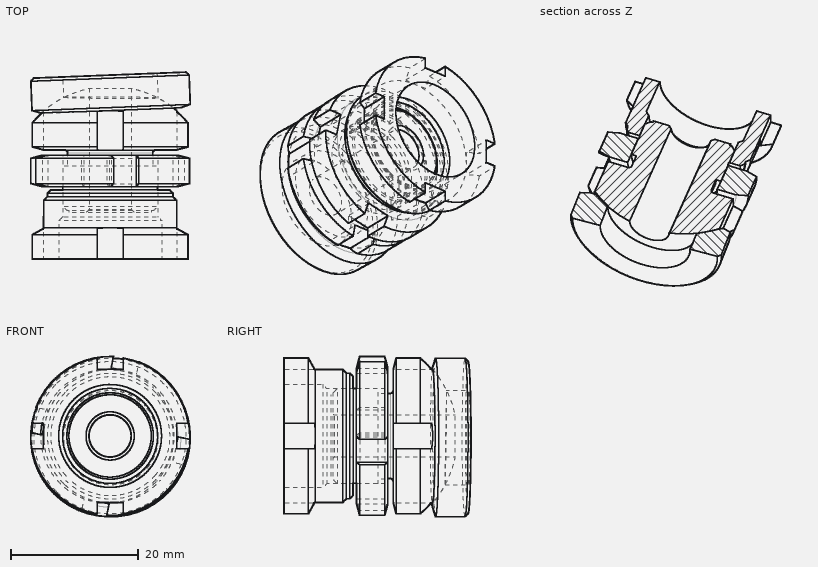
import cadquery as cq
import math


FLANGE_RADIUS = 12.45

SLOT_COUNT = 4
SLOT_WIDTH = 4.07
SLOT_FLOOR_RADIUS = 10.5

SHANK_RADIUS = 7.5

BEVEL_FACE_RADIUS = 10.65
BEVEL_ANGLE = 15.0

BASE_FLANGE_TOP = 3.85
BASE_BODY_RADIUS = SLOT_FLOOR_RADIUS
BASE_BODY_BOTTOM = 4.95
BASE_BODY_TOP = 9.25
BASE_RIM_RADIUS = 9.9
BASE_RIM_BOTTOM = 9.85
BASE_RIM_TOP = 10.38
BASE_TOP = 10.9
BASE_TOP_RADIUS = BASE_RIM_RADIUS - (BASE_TOP - BASE_RIM_TOP)
BASE_BORE_RADIUS = 8.1
BASE_BORE_DEPTH = 6.1
BASE_BORE_CHAMFER = BASE_BORE_RADIUS - SHANK_RADIUS

NUT_RADIUS = 12.53
NUT_BOTTOM = 11.4
NUT_TOP = 16.4
NUT_TURN = 11.8

SCREW_BOTTOM = 7.4
PILOT_RADIUS = 6.5
PILOT_LENGTH = 0.3
SHANK_TIP_RADIUS = 6.8
NECK_RADIUS = 6.72
NECK_BOTTOM = 14.75
NECK_FILLET = 0.45
COLLAR_BOTTOM = 17.2
COLLAR_TOP = 21.45
SCREW_HOLE_RADIUS = 3.3
SCREW_HOLE_CHAMFER = 0.5

DOME_RADIUS = 16.2
DOME_CENTRE = COLLAR_TOP - math.sqrt(DOME_RADIUS**2 - FLANGE_RADIUS**2)

WASHER_RADIUS = 12.5
WASHER_THICKNESS = 5.6
WASHER_TOP_CHAMFER = 0.5
WASHER_FACE_RADIUS = 10.97
WASHER_BEVEL_HEIGHT = 0.47
WASHER_HOLE_RADIUS = 7.43
WASHER_TILT = 2.25
WASHER_CENTRE = (0.05, 26.2, -0.25)


def bevel_height(radius):
    """Axial height of the shallow bevel on an edge of the given radius."""
    return (radius - BEVEL_FACE_RADIUS) * math.tan(math.radians(BEVEL_ANGLE))


def turned(points):
    """Solid of revolution about the Y axis from (radius, y) points."""
    return cq.Workplane("XY").polyline(points).close().revolve(360, (0, 0, 0), (0, 1, 0))


def tool_slots(bottom, top, turn=0.0):
    """Cutters for the slots spaced around the Y axis between two heights."""
    slot_depth = NUT_RADIUS - SLOT_FLOOR_RADIUS
    cutter_depth = 2 * slot_depth
    cutter = cq.Workplane("XY").box(SLOT_WIDTH, top - bottom, cutter_depth)
    cutter = cutter.translate((0, (bottom + top) / 2, NUT_RADIUS))
    cutters = cq.Workplane("XY")
    for index in range(SLOT_COUNT):
        angle = turn + index * 360 / SLOT_COUNT
        cutters = cutters.add(cutter.rotate((0, 0, 0), (0, 1, 0), angle))
    return cutters.combine()


def dome_height(radius):
    """Height of the dome surface at the given distance from the Y axis."""
    return DOME_CENTRE + math.sqrt(DOME_RADIUS**2 - radius**2)


def make_base():
    """Slotted flange with a stepped body, a wide lower bore and a shank hole."""
    body = turned([
        (BASE_BORE_RADIUS, 0),
        (FLANGE_RADIUS, 0),
        (FLANGE_RADIUS, BASE_FLANGE_TOP),
        (BASE_BODY_RADIUS, BASE_BODY_BOTTOM),
        (BASE_BODY_RADIUS, BASE_BODY_TOP),
        (BASE_RIM_RADIUS, BASE_RIM_BOTTOM),
        (BASE_RIM_RADIUS, BASE_RIM_TOP),
        (BASE_TOP_RADIUS, BASE_TOP),
        (SHANK_RADIUS, BASE_TOP),
        (SHANK_RADIUS, BASE_BORE_DEPTH + BASE_BORE_CHAMFER),
        (BASE_BORE_RADIUS, BASE_BORE_DEPTH),
    ])
    return body.cut(tool_slots(0, BASE_BODY_BOTTOM))


def make_locknut():
    """Slotted ring, bevelled on both faces and turned relative to the base."""
    bevel = bevel_height(NUT_RADIUS)
    body = turned([
        (SHANK_RADIUS, NUT_BOTTOM),
        (BEVEL_FACE_RADIUS, NUT_BOTTOM),
        (NUT_RADIUS, NUT_BOTTOM + bevel),
        (NUT_RADIUS, NUT_TOP - bevel),
        (BEVEL_FACE_RADIUS, NUT_TOP),
        (SHANK_RADIUS, NUT_TOP),
    ])
    return body.cut(tool_slots(NUT_BOTTOM, NUT_TOP, NUT_TURN))


def make_screw():
    """Pilot, threaded shank, relief neck and slotted collar with a domed top."""
    shoulder = SCREW_BOTTOM + PILOT_LENGTH
    fillet_mid = NECK_FILLET * (1 - math.sqrt(0.5))
    screw_top = dome_height(SCREW_HOLE_RADIUS)
    dome_mid = (FLANGE_RADIUS + SCREW_HOLE_RADIUS) / 2
    profile = (
        cq.Workplane("XY")
        .moveTo(SCREW_HOLE_RADIUS + SCREW_HOLE_CHAMFER, SCREW_BOTTOM)
        .lineTo(PILOT_RADIUS, SCREW_BOTTOM)
        .lineTo(PILOT_RADIUS, shoulder)
        .lineTo(SHANK_TIP_RADIUS, shoulder)
        .lineTo(SHANK_RADIUS, shoulder + SHANK_RADIUS - SHANK_TIP_RADIUS)
        .lineTo(SHANK_RADIUS, NECK_BOTTOM)
        .lineTo(NECK_RADIUS, NECK_BOTTOM)
        .lineTo(NECK_RADIUS, COLLAR_BOTTOM - NECK_FILLET)
        .threePointArc(
            (NECK_RADIUS + fillet_mid, COLLAR_BOTTOM - fillet_mid),
            (NECK_RADIUS + NECK_FILLET, COLLAR_BOTTOM),
        )
        .lineTo(BEVEL_FACE_RADIUS, COLLAR_BOTTOM)
        .lineTo(FLANGE_RADIUS, COLLAR_BOTTOM + bevel_height(FLANGE_RADIUS))
        .lineTo(FLANGE_RADIUS, COLLAR_TOP)
        .threePointArc((dome_mid, dome_height(dome_mid)), (SCREW_HOLE_RADIUS, screw_top))
        .lineTo(SCREW_HOLE_RADIUS, SCREW_BOTTOM + SCREW_HOLE_CHAMFER)
        .close()
    )
    body = profile.revolve(360, (0, 0, 0), (0, 1, 0))
    return body.cut(tool_slots(COLLAR_BOTTOM, screw_top))


def make_washer():
    """Tilted washer with a recess that fits the dome."""
    dome_mid = FLANGE_RADIUS / 2
    half = WASHER_THICKNESS / 2
    body = turned([
        (WASHER_HOLE_RADIUS, -half),
        (WASHER_FACE_RADIUS, -half),
        (WASHER_RADIUS, WASHER_BEVEL_HEIGHT - half),
        (WASHER_RADIUS, half - WASHER_TOP_CHAMFER),
        (WASHER_RADIUS - WASHER_TOP_CHAMFER, half),
        (WASHER_HOLE_RADIUS, half),
    ])
    body = body.rotate((0, 0, 0), (0, 0, 1), WASHER_TILT).translate(WASHER_CENTRE)
    seat = (
        cq.Workplane("XY")
        .moveTo(0, COLLAR_TOP)
        .lineTo(FLANGE_RADIUS, COLLAR_TOP)
        .threePointArc((dome_mid, dome_height(dome_mid)), (0, dome_height(0)))
        .close()
        .revolve(360, (0, 0, 0), (0, 1, 0))
    )
    return body.cut(seat)


base = make_base().solids()
locknut = make_locknut().solids()
screw = make_screw().solids()
washer = make_washer().solids()

result = cq.Compound.makeCompound([base.val(), locknut.val(), screw.val(), washer.val()])